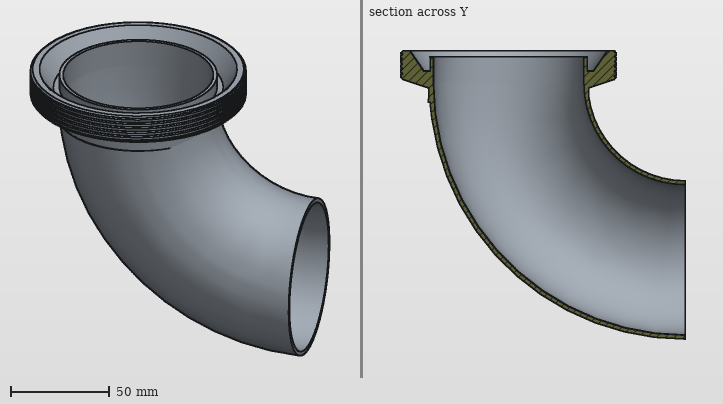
import cadquery as cq

height = 147.2
pipe_radius = 40.5
bore_radius = 38.3
bend_radius = 90.0
bend_start = pipe_radius + bend_radius - height

ring_radius = 110.0 / 2
rim_inner_radius = 50.3
edge_chamfer = 1.2
thread_bottom = -13.7
ring_bottom = -19.1

collar_radius = 40.9
collar_bottom = -26.3

groove_floor_radius = 43.3
groove_floor = -10.3
spigot_radius = 40.2
spigot_top = -3.2

thread_pitch = 2.5
thread_depth = 0.9
thread_width = 1.5
thread_start = -15.6
thread_turns = 7
tool_overlap = 0.3


def elbow(radius):
    """Solid quarter bend from the socket axis to the +X outlet."""
    return (
        cq.Workplane("XY", origin=(0, 0, bend_start))
        .circle(radius)
        .revolve(90, (bend_radius, 1.5, 0), (bend_radius, -1.5, 0))
    )


def socket():
    """Ring, spigot and collar as one solid of revolution, with the groove open at the top."""
    profile = [
        (0, collar_bottom),
        (collar_radius, collar_bottom),
        (collar_radius, ring_bottom),
        (ring_radius - edge_chamfer, thread_bottom - edge_chamfer),
        (ring_radius, thread_bottom),
        (ring_radius, -edge_chamfer),
        (ring_radius - edge_chamfer, 0),
        (rim_inner_radius, 0),
        (groove_floor_radius, groove_floor),
        (spigot_radius, groove_floor),
        (spigot_radius, spigot_top),
        (0, spigot_top),
    ]
    return cq.Workplane("XZ").polyline(profile).close().revolve(360, (0, 0, 0), (0, 1, 0))


def thread_cutter():
    """Helical V-shaped cutter that runs out beyond both ends of the ring."""
    helix = cq.Wire.makeHelix(
        thread_pitch, thread_pitch * thread_turns, ring_radius, center=cq.Vector(0, 0, thread_start)
    )
    root_radius = ring_radius - thread_depth
    outer_radius = ring_radius + tool_overlap
    half_width = thread_width / 2
    return (
        cq.Workplane("XZ")
        .polyline([
            (root_radius, thread_start),
            (outer_radius, thread_start + half_width),
            (outer_radius, thread_start - half_width),
        ])
        .close()
        .sweep(cq.Workplane(obj=helix), isFrenet=True)
    )


def bore():
    """Straight bore through the spigot, continued around the bend."""
    straight = cq.Workplane("XY", origin=(0, 0, bend_start)).circle(bore_radius).extrude(-bend_start)
    return straight.union(elbow(bore_radius))


outer_body = socket().cut(thread_cutter()).union(elbow(pipe_radius))

result = outer_body.cut(bore())